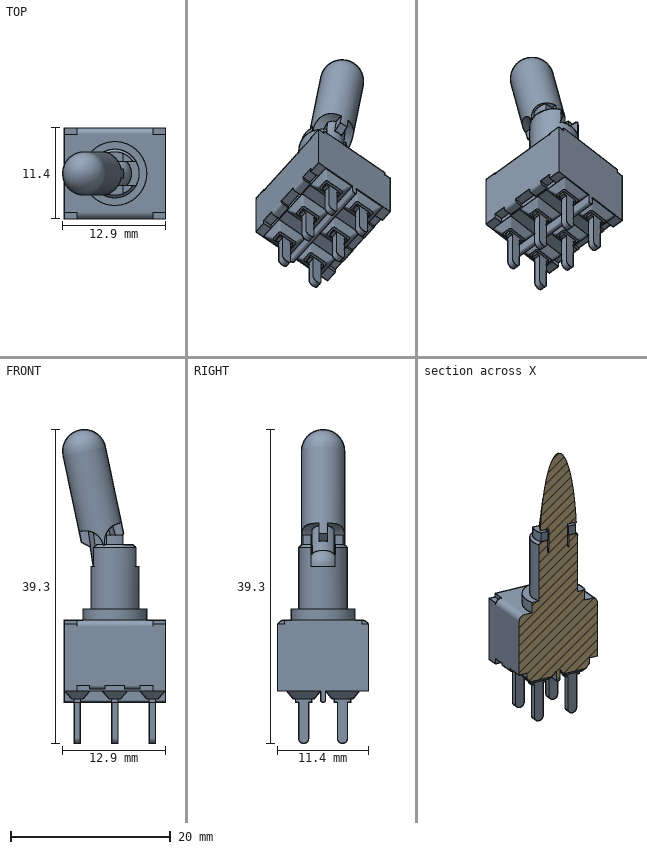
import cadquery as cq
import math

total_height = 39.3

body_length = 12.7
body_width = 11.43
body_height = 8.89
end_block_length = 1.6
ledge_width = 0.86
ledge_drop = 0.48
shell_length = body_length - 2 * end_block_length
shell_round_height = 0.75
shell_round_radius = 0.84
shell_bottom = -8.18
base_recess = 1.16

tab_inner_x = 1.2
tab_outer_x = 3.17
tab_bend_radius = 0.45
tab_bend_flat = 0.05

rib_width = 0.62
rib_drop = 1.4
rib_edge_radius = 0.25

pin_pitch_x = 4.7
pin_pitch_y = 4.86
pin_thickness = 0.8
pin_width = 1.28
pin_tip_z = -15.45
shoulder_width = 2.08
shoulder_z = -10.3
seal_height = 0.98
seal_base_x, seal_base_y = 3.13, 4.24
seal_tip_x, seal_tip_y = 1.45, 2.66
seal_corner_radius = 0.3

collar_diameter = 8.0
collar_height = 1.4
bushing_diameter = 6.1
bushing_top = 9.43
lever_diameter = 5.44
bushing_chamfer = (bushing_diameter - lever_diameter) / 2
slot_width = 3.0
slot_floor = 6.73
seat_diameter = 4.2
guard_length = 2.06
guard_top = 10.64
keyway_width = 1.07
keyway_depth = 0.7

pivot_z = 3.0
neck_base_diameter = 4.2
tilt_angle = 11.94
lever_radius = lever_diameter / 2
dome_rise = total_height + pin_tip_z - lever_radius - pivot_z
dome_center = dome_rise / math.cos(math.radians(tilt_angle))
skirt_height = 6.5
scallop_offset = 2.4
scallop_radius = 2.3
neck_tip_radius = 1.66
neck_width = 2.74
tongue_shoulder = 7.45
tongue_tip = 6.65
tongue_tip_x = 1.75


def box(length, width, bottom, top, x=0, y=0):
    """Upright block centred on (x, y) between two heights."""
    return (
        cq.Workplane("XY")
        .box(length, width, top - bottom, centered=(True, True, False))
        .translate((x, y, bottom))
    )


def cylinder(diameter, bottom, top):
    """Round bar on the Z axis between two heights."""
    return cq.Workplane("XY").workplane(offset=bottom).circle(diameter / 2).extrude(top - bottom)


def make_shell():
    """Sheet-metal wrap between the end blocks, rounded along both top edges."""
    half_width = body_width / 2
    return (
        cq.Workplane("YZ")
        .moveTo(-half_width, shell_bottom)
        .lineTo(half_width, shell_bottom)
        .lineTo(half_width, -shell_round_height)
        .radiusArc((half_width - ledge_width, 0), -shell_round_radius)
        .lineTo(ledge_width - half_width, 0)
        .radiusArc((-half_width, -shell_round_height), -shell_round_radius)
        .close()
        .extrude(shell_length / 2, both=True)
    )


def make_shell_tabs():
    """Four tabs under the shell, rounded where they bend inward."""
    tab_length = tab_outer_x - tab_inner_x
    tab_center = (tab_outer_x + tab_inner_x) / 2
    tab_bottom = shell_bottom - tab_bend_radius
    row = box(tab_length, body_width, tab_bottom, shell_bottom)
    row = row.edges("|X and <Z").fillet(tab_bend_radius - tab_bend_flat)
    return row.translate((tab_center, 0, 0)).union(row.translate((-tab_center, 0, 0)))


def make_housing():
    block_center = (body_length - end_block_length) / 2
    end_block = box(end_block_length, body_width, -body_height, -ledge_drop)
    top_plate = box(body_length, body_width - 2 * ledge_width, -ledge_drop, 0)
    core = box(shell_length, body_width - 2 * base_recess, -body_height, shell_bottom)
    housing = make_shell().union(core).union(make_shell_tabs()).union(top_plate)
    for side in (-1, 1):
        housing = housing.union(end_block.translate((side * block_center, 0, 0)))
    return housing


def make_rib():
    rib = box(body_length, rib_width, -body_height - rib_drop, -body_height)
    return rib.edges("|X and <Z").fillet(rib_edge_radius)


def make_terminal(x, y):
    """Flat pin with a round end, a shoulder and a tapered seal at the housing."""
    seal_bottom = -body_height - seal_height
    seal = (
        cq.Workplane("XY")
        .workplane(offset=-body_height)
        .rect(seal_base_x, seal_base_y)
        .workplane(offset=-seal_height)
        .rect(seal_tip_x, seal_tip_y)
        .loft()
        .edges("not #Z")
        .fillet(seal_corner_radius)
    )
    round_center = pin_tip_z + pin_width / 2
    shoulder = box(pin_thickness, shoulder_width, shoulder_z, seal_bottom)
    shank = box(pin_thickness, pin_width, round_center, shoulder_z)
    tip = (
        cq.Workplane("YZ")
        .center(0, round_center)
        .circle(pin_width / 2)
        .extrude(pin_thickness / 2, both=True)
    )
    return seal.union(shoulder).union(shank).union(tip).translate((x, y, 0))


def make_bushing():
    """Collar and slotted barrel with two guards and a round seat on the slot floor."""
    collar = cylinder(collar_diameter, 0, collar_height)
    barrel = cylinder(bushing_diameter, 0, bushing_top).faces(">Z").chamfer(bushing_chamfer)
    guards = cylinder(lever_diameter, slot_floor, guard_top)
    guards = guards.intersect(box(guard_length, bushing_diameter, slot_floor, guard_top))
    barrel = barrel.union(guards)
    barrel = barrel.cut(box(bushing_diameter, slot_width, slot_floor, guard_top))
    seat = cq.Workplane("XY").sphere(seat_diameter / 2).translate((0, 0, slot_floor))
    seat = seat.intersect(box(seat_diameter, slot_width, slot_floor, bushing_top))
    return collar.union(barrel).union(seat)


def make_keyway():
    """Groove down the -X side of the barrel, also trimming the neck where they meet."""
    keyway_x = (keyway_depth - bushing_diameter) / 2
    return box(keyway_depth, keyway_width, collar_height, slot_floor, keyway_x)


def make_lever():
    """Lever built upright with its pivot at the origin, then tilted into place."""
    tongue_slab = (
        cq.Workplane("XZ")
        .moveTo(-tongue_tip_x, tongue_tip)
        .lineTo(tongue_tip_x, tongue_tip)
        .lineTo(lever_radius, tongue_shoulder)
        .lineTo(lever_radius, dome_center)
        .lineTo(-lever_radius, dome_center)
        .lineTo(-lever_radius, tongue_shoulder)
        .close()
        .extrude(keyway_width / 2, both=True)
    )
    below_shoulder = box(lever_diameter, keyway_width, skirt_height, tongue_shoulder)
    grip = cylinder(lever_diameter, skirt_height, dome_center)
    grip = grip.cut(below_shoulder.cut(tongue_slab))
    for side in (-1, 1):
        scallop = (
            cq.Workplane("XZ")
            .center(side * scallop_offset, skirt_height)
            .circle(scallop_radius)
            .extrude(lever_diameter, both=True)
            .cut(tongue_slab)
        )
        grip = grip.cut(scallop)
    dome = cq.Workplane("XY").sphere(lever_radius).translate((0, 0, dome_center))

    neck_top = skirt_height + scallop_radius
    neck = (
        cq.Workplane("XZ")
        .lineTo(neck_base_diameter / 2, 0)
        .lineTo(neck_tip_radius, neck_top)
        .lineTo(0, neck_top)
        .close()
        .revolve(360, (0, 0, 0), (0, 1, 0))
        .intersect(box(neck_base_diameter, neck_width, 0, neck_top))
    )
    lever = grip.union(dome).union(neck)
    return lever.rotate((0, 0, 0), (0, 1, 0), -tilt_angle).translate((0, 0, pivot_z))


switch = make_bushing().union(make_lever()).cut(make_keyway())
result = make_housing().union(make_rib()).union(switch)
for column in (-1, 0, 1):
    for row in (-1, 1):
        result = result.union(make_terminal(column * pin_pitch_x, row * pin_pitch_y / 2))